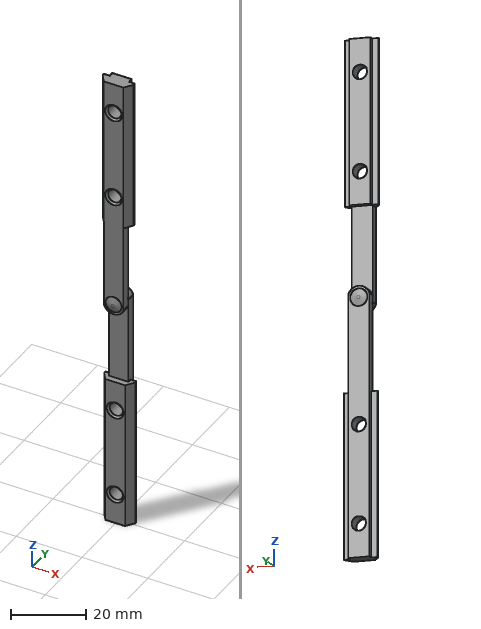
import cadquery as cq

total_length = 142.0
rail_length = 45.5
hinge_z = total_length / 2

bar_width = 6.0
wing_width = 9.4
section_depth = 4.5
flank_depth = 2.4
wing_depth = 3.1
bar_depth = 2.7
bar_end_radius = 3.1

hole_radius = 2.0
countersink_radius = 2.5
countersink_depth = countersink_radius - hole_radius
hole_end_distance = 9.2
hole_spacing = 27.1

pin_length = 6.5
pin_radius = 2.4
pin_tip_radius = 0.4
pin_head_height = pin_length / 2 - bar_depth


def cylinder_along_y(radius, y_start, y_end, z):
    return (
        cq.Workplane("XZ", origin=(0, y_start, z))
        .circle(radius)
        .extrude(y_start - y_end)
    )


def make_rail(front_y, z_bottom):
    half_bar = bar_width / 2
    half_wing = wing_width / 2
    flank_y = front_y + flank_depth
    wing_y = front_y + wing_depth
    back_y = front_y + section_depth
    return (
        cq.Workplane("XY", origin=(0, 0, z_bottom))
        .polyline([
            (-half_bar, front_y),
            (half_bar, front_y),
            (half_wing, flank_y),
            (half_wing, wing_y),
            (half_bar, wing_y),
            (half_bar, back_y),
            (-half_bar, back_y),
            (-half_bar, wing_y),
            (-half_wing, wing_y),
            (-half_wing, flank_y),
        ])
        .close()
        .extrude(rail_length)
    )


def make_bar(y_start, z_rail):
    """Flat bar from the rail to the hinge, with a round end trimmed to the bar width."""
    y_middle = y_start + bar_depth / 2
    length = abs(z_rail - hinge_z)
    straight = cq.Workplane("XY").box(bar_width, bar_depth, length)
    straight = straight.translate((0, y_middle, (z_rail + hinge_z) / 2))
    end_block = cq.Workplane("XY").box(bar_width, bar_depth, 2 * bar_end_radius)
    end_block = end_block.translate((0, y_middle, hinge_z))
    disc = cylinder_along_y(bar_end_radius, y_start, y_start + bar_depth, hinge_z)
    return straight.union(end_block.intersect(disc))


def screw_hole_cutter(front_y, z):
    hole = cylinder_along_y(hole_radius, front_y, front_y + section_depth, z)
    countersink = cq.Workplane(cq.Solid.makeCone(
        countersink_radius, hole_radius, countersink_depth,
        pnt=cq.Vector(0, front_y, z), dir=cq.Vector(0, 1, 0),
    ))
    return hole.union(countersink)


def make_arm(front_y, bar_y, rail_bottom, rail_inner_end, hole_heights):
    arm = make_rail(front_y, rail_bottom).union(make_bar(bar_y, rail_inner_end))
    for z in hole_heights:
        arm = arm.cut(screw_hole_cutter(front_y, z))
    return arm.cut(cylinder_along_y(pin_radius, -bar_depth, bar_depth, hinge_z))


def make_pin():
    pin = cylinder_along_y(pin_radius, -bar_depth, bar_depth, hinge_z)
    for side in (-1, 1):
        head = cq.Solid.makeCone(
            pin_radius, pin_tip_radius, pin_head_height,
            pnt=cq.Vector(0, side * bar_depth, hinge_z), dir=cq.Vector(0, side, 0),
        )
        pin = pin.union(cq.Workplane(head))
    return pin


hole_distances = [hole_end_distance, hole_end_distance + hole_spacing]

upper_rail_bottom = total_length - rail_length
upper_arm = make_arm(
    -bar_depth, -bar_depth, upper_rail_bottom, upper_rail_bottom,
    [total_length - distance for distance in hole_distances],
)

lower_arm = make_arm(bar_depth - section_depth, 0, 0, rail_length, hole_distances)

hinge_pin = make_pin()

result = cq.Compound.makeCompound([upper_arm.val(), lower_arm.val(), hinge_pin.val()])